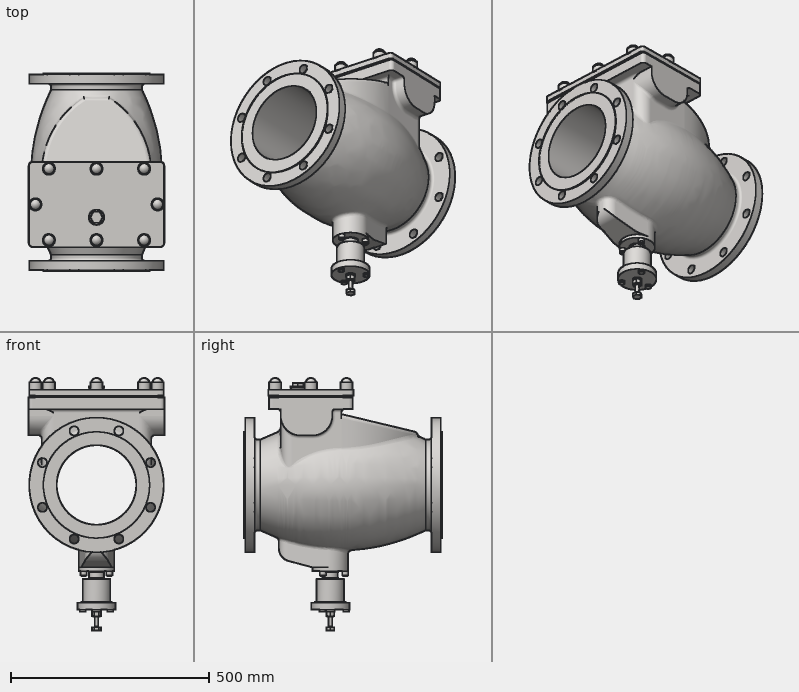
import cadquery as cq
import math

BODY_LENGTH = 500.0
BORE_DIA = 200.0
FLANGE_DIA = 340.0
FLANGE_THICK = 24.0
RAISED_FACE_DIA = 268.0
RAISED_FACE_HEIGHT = 3.0
FLANGE_HOLE_DIA = 23.0
FLANGE_HOLE_CIRCLE_DIA = 295.0
FLANGE_HOLE_COUNT = 8
NECK_DIA = 230.0
NECK_END_Y = 208.0
NECK_FILLET = 7.0
BARREL_RADIUS = 165.0
BARREL_PEAK_Y = -15.0

ON_SURFACE_TOLERANCE = 0.05
EDGE_MARGIN = 1.0

HOUSING_HALF_WIDTH = 138.5
HOUSING_FRONT_Y = -157.0
HOUSING_BACK_Y = -4.0
HOUSING_CORNER_RADIUS = 30.0
HOUSING_FOOT_FILLET = 13.0
ROOF_HIGH_Z = 179.0
ROOF_ANGLE = 13.5
ROOF_EDGE_FILLET = 10.0
TAIL_END_Y = 188.0
TAIL_HALF_WIDTH = 32.0

COVER_CENTER_Y = -81.0
TOP_FLANGE_SIZE = (343.0, 212.0)
TOP_FLANGE_CORNER = 10.0
TOP_FLANGE_BOTTOM_Z = 191.5
TOP_FLANGE_TOP_Z = 221.0
UNDER_FLANGE_FILLET = 9.0
GASKET_SIZE = (310.0, 162.0)
GASKET_CORNER = 10.0
COVER_SIZE = (340.0, 215.0)
COVER_CORNER = 8.0
COVER_BOTTOM_Z = 225.0
COVER_TOP_Z = 240.5
COVER_BOLT_DIA = 31.18
COVER_BOLT_STRAIGHT = 18.5
COVER_BOLT_TOP_Z = 270.0
DOME_BASE_DIA = 27.0
BOLT_SPACING_X = 120.0
BOLT_SPACING_Y = 90.0
SIDE_BOLT_X = 154.0

PLUG_Y = -113.5
PLUG_SEAL_DIA = 36.0
PLUG_SEAL_HEIGHT = 4.5
PLUG_COLLAR_DIA = 39.0
PLUG_COLLAR_HEIGHT = 3.5
PLUG_HEX_ACROSS_FLATS = 27.0
PLUG_HEX_HEIGHT = 9.0

PAD_BACK_Y = -27.0
PAD_BOTTOM_Z = 125.0
PAD_CORNER_RADIUS = 49.0
PAD_FOOT_FILLET = 8.0

SPINDLE_Y = -32.0
BOSS_RADIUS = 45.0
BOSS_TAPER = 8.6
BOSS_FRONT_CORNER = 26.0
BOSS_BOTTOM_Z = -208.0
BOSS_FRONT_Y = -162.0
BOSS_SLOPE_START_Y = SPINDLE_Y - BOSS_RADIUS
BOSS_SLOPE_END = (-137.0, -192.0)
BOSS_NOSE_Z = -157.0
BOSS_FOOT_FILLET = 9.0

PLATE_DIA = 90.0
PLATE_BOTTOM_Z = -217.5
SPINDLE_NECK_DIA = 38.0
SPINDLE_NECK_BOTTOM_Z = -236.0
NECK_RING_DIA = 40.0
NECK_RING_HEIGHT = 2.0
CAN_DIA = 70.0
CAN_BOTTOM_Z = -296.5
CAN_CHAMFER = 1.5
CAN_FOOT_DIA = 78.0
CAN_FOOT_TOP_Z = -294.0
RIM_DIA = 97.0
RIM_BOTTOM_Z = -314.5
GLAND_DIA = 23.0
GLAND_BOTTOM_Z = -319.0
NUT_ACROSS_FLATS = 20.0
NUT_BOTTOM_Z = -330.5
NUT_WASHER_DIA = 15.4
NUT_WASHER_BOTTOM_Z = -332.5
ROD_DIA = 10.0
ROD_BOTTOM_Z = -356.5
ROD_NECK_DIA = 9.19
END_NUT_TOP_Z = -358.5
END_NUT_BOTTOM_Z = -367.31
PLATE_BOLT_DIA = 16.0
PLATE_BOLT_LENGTH = 12.5
PLATE_BOLT_CHAMFER = 3.0
PLATE_BOLT_CIRCLE_RADIUS = 37.5
RIM_BOLT_DIA = 15.4
RIM_BOLT_LENGTH = 5.5
RIM_BOLT_CHAMFER = 1.0
RIM_BOLT_CIRCLE_RADIUS = 40.0
SPINDLE_BOLT_COUNT = 3


def cylinder(dia, x, y, z_bottom, z_top):
    return cq.Workplane("XY", origin=(x, y, z_bottom)).circle(dia / 2).extrude(z_top - z_bottom)


def hexagon(across_flats, y, z_bottom, z_top):
    """Hexagonal prism with two corners on the X direction."""
    corner_dia = across_flats / math.cos(math.pi / 6)
    return cq.Workplane("XY", origin=(0, y, z_bottom)).polygon(6, corner_dia).extrude(z_top - z_bottom)


def rounded_plate(size, corner, z_bottom, z_top):
    plate = cq.Workplane("XY", origin=(0, COVER_CENTER_Y, z_bottom)).rect(*size).extrude(z_top - z_bottom)
    return plate.edges("|Z").fillet(corner)


def lies_on(edge, solid):
    """True for an edge whose inner points all lie on the surface of the solid."""
    skin = solid.val().Shells()[0]
    points = [edge.positionAt(fraction).toTuple() for fraction in (0.25, 0.5, 0.75)]
    return all(skin.distance(cq.Vertex.makeVertex(*point)) < ON_SURFACE_TOLERANCE for point in points)


def make_barrel():
    """Revolve the bulged barrel about the Y axis."""
    neck_radius = NECK_DIA / 2
    return (
        cq.Workplane("XY")
        .moveTo(0, -NECK_END_Y)
        .lineTo(neck_radius, -NECK_END_Y)
        .spline([(BARREL_RADIUS, BARREL_PEAK_Y), (neck_radius, NECK_END_Y)], includeCurrent=True)
        .lineTo(0, NECK_END_Y)
        .close()
        .revolve(360, (0, 0, 0), (0, 1, 0))
    )


def make_end_flange():
    """Revolve the +Y flange with its neck, neck fillet and raised face."""
    neck_radius = NECK_DIA / 2
    face_y = BODY_LENGTH / 2
    front_y = face_y - RAISED_FACE_HEIGHT
    back_y = front_y - FLANGE_THICK
    arc_shift = NECK_FILLET * (1 - math.sqrt(0.5))
    return (
        cq.Workplane("XY")
        .moveTo(0, NECK_END_Y)
        .lineTo(neck_radius, NECK_END_Y)
        .lineTo(neck_radius, back_y - NECK_FILLET)
        .threePointArc((neck_radius + arc_shift, back_y - arc_shift), (neck_radius + NECK_FILLET, back_y))
        .lineTo(FLANGE_DIA / 2, back_y)
        .lineTo(FLANGE_DIA / 2, front_y)
        .lineTo(RAISED_FACE_DIA / 2, front_y)
        .lineTo(RAISED_FACE_DIA / 2, face_y)
        .lineTo(0, face_y)
        .close()
        .revolve(360, (0, 0, 0), (0, 1, 0))
    )


def make_cover_seat():
    """Straight box of the housing blended into the top flange above it."""
    depth = HOUSING_BACK_Y - HOUSING_FRONT_Y
    box = (
        cq.Workplane("XY", origin=(0, HOUSING_FRONT_Y + depth / 2, 0))
        .rect(2 * HOUSING_HALF_WIDTH, depth)
        .extrude(TOP_FLANGE_BOTTOM_Z)
    )
    box = box.edges("|Z and <Y").fillet(HOUSING_CORNER_RADIUS)
    top_flange = rounded_plate(TOP_FLANGE_SIZE, TOP_FLANGE_CORNER, TOP_FLANGE_BOTTOM_Z, TOP_FLANGE_TOP_Z)
    seat = box.union(top_flange)
    return seat.edges().filter(lambda edge: lies_on(edge, box)).edges(">Z").fillet(UNDER_FLANGE_FILLET)


def make_tail():
    """Curved tail of the housing under a sloping roof with a rounded rim."""
    side_run = HOUSING_HALF_WIDTH - TAIL_HALF_WIDTH
    tail_run = TAIL_END_Y - HOUSING_BACK_Y
    tail_radius = (side_run**2 + tail_run**2) / (2 * side_run)
    half_sweep = math.asin(tail_run / tail_radius) / 2
    mid_x = HOUSING_HALF_WIDTH - tail_radius * (1 - math.cos(half_sweep))
    mid_y = HOUSING_BACK_Y + tail_radius * math.sin(half_sweep)
    walls = (
        cq.Workplane("XY")
        .moveTo(HOUSING_HALF_WIDTH, HOUSING_BACK_Y)
        .threePointArc((mid_x, mid_y), (TAIL_HALF_WIDTH, TAIL_END_Y))
        .lineTo(-TAIL_HALF_WIDTH, TAIL_END_Y)
        .threePointArc((-mid_x, mid_y), (-HOUSING_HALF_WIDTH, HOUSING_BACK_Y))
        .close()
        .extrude(TOP_FLANGE_BOTTOM_Z)
    )
    roof_low_z = ROOF_HIGH_Z - tail_run * math.tan(math.radians(ROOF_ANGLE))
    under_roof = (
        cq.Workplane("YZ", origin=(-HOUSING_HALF_WIDTH, 0, 0))
        .moveTo(HOUSING_BACK_Y, 0)
        .lineTo(HOUSING_BACK_Y, ROOF_HIGH_Z)
        .lineTo(TAIL_END_Y, roof_low_z)
        .lineTo(TAIL_END_Y, 0)
        .close()
        .extrude(2 * HOUSING_HALF_WIDTH)
    )
    tail = walls.intersect(under_roof)
    return tail.faces(">Z").edges("not <Y").fillet(ROOF_EDGE_FILLET)


def make_pad(side):
    """U-shaped pad on one housing side, flush with the top flange end."""
    pad = (
        cq.Workplane("YZ")
        .moveTo(HOUSING_FRONT_Y, TOP_FLANGE_BOTTOM_Z)
        .lineTo(HOUSING_FRONT_Y, PAD_BOTTOM_Z)
        .lineTo(PAD_BACK_Y, PAD_BOTTOM_Z)
        .lineTo(PAD_BACK_Y, TOP_FLANGE_BOTTOM_Z)
        .close()
        .extrude(side * TOP_FLANGE_SIZE[0] / 2)
    )
    return pad.edges("|X and <Z").fillet(PAD_CORNER_RADIUS)


def make_boss():
    """Tapered boss below the barrel with a sloping, rounded front."""
    taper = math.radians(BOSS_TAPER)
    tangent_x = BOSS_RADIUS * math.cos(taper)
    tangent_y = SPINDLE_Y - BOSS_RADIUS * math.sin(taper)
    front_x = tangent_x - (tangent_y - BOSS_FRONT_Y) * math.tan(taper)
    plan = (
        cq.Workplane("XY", origin=(0, 0, BOSS_BOTTOM_Z))
        .moveTo(-front_x, BOSS_FRONT_Y)
        .lineTo(front_x, BOSS_FRONT_Y)
        .lineTo(tangent_x, tangent_y)
        .threePointArc((0, SPINDLE_Y + BOSS_RADIUS), (-tangent_x, tangent_y))
        .close()
        .extrude(-BOSS_BOTTOM_Z - BORE_DIA / 2)
    )
    plan = plan.edges("|Z and <Y").fillet(BOSS_FRONT_CORNER)
    slope_end_y, slope_end_z = BOSS_SLOPE_END
    side = (
        cq.Workplane("YZ", origin=(-BOSS_RADIUS, 0, 0))
        .moveTo(SPINDLE_Y + BOSS_RADIUS, 0)
        .lineTo(SPINDLE_Y + BOSS_RADIUS, BOSS_BOTTOM_Z)
        .lineTo(BOSS_SLOPE_START_Y, BOSS_BOTTOM_Z)
        .lineTo(slope_end_y, slope_end_z)
        .tangentArcPoint((BOSS_FRONT_Y, BOSS_NOSE_Z), relative=False)
        .lineTo(BOSS_FRONT_Y, 0)
        .close()
        .extrude(2 * BOSS_RADIUS)
    )
    return plan.intersect(side)


def make_cover_bolt(x, y):
    """Straight cap with a spherical dome."""
    straight_top = COVER_TOP_Z + COVER_BOLT_STRAIGHT
    dome_height = COVER_BOLT_TOP_Z - straight_top
    base_radius = DOME_BASE_DIA / 2
    sphere_radius = (base_radius**2 + dome_height**2) / (2 * dome_height)
    sphere = cq.Workplane("XY", origin=(x, y, COVER_BOLT_TOP_Z - sphere_radius)).sphere(sphere_radius)
    dome = sphere.intersect(cylinder(2 * sphere_radius, x, y, straight_top, COVER_BOLT_TOP_Z))
    return cylinder(COVER_BOLT_DIA, x, y, COVER_TOP_Z, straight_top).union(dome)


def make_cover():
    cover = rounded_plate(GASKET_SIZE, GASKET_CORNER, TOP_FLANGE_TOP_Z, COVER_BOTTOM_Z)
    cover = cover.union(rounded_plate(COVER_SIZE, COVER_CORNER, COVER_BOTTOM_Z, COVER_TOP_Z))
    for side in (-1, 1):
        cover = cover.union(make_cover_bolt(side * SIDE_BOLT_X, COVER_CENTER_Y))
        for column in (-1, 0, 1):
            bolt_y = COVER_CENTER_Y + side * BOLT_SPACING_Y
            cover = cover.union(make_cover_bolt(column * BOLT_SPACING_X, bolt_y))
    return cover.union(make_plug())


def make_plug():
    """Hexagon plug on a collar and a slightly smaller sealing ring."""
    seal_top = COVER_TOP_Z + PLUG_SEAL_HEIGHT
    collar_top = seal_top + PLUG_COLLAR_HEIGHT
    plug = cylinder(PLUG_SEAL_DIA, 0, PLUG_Y, COVER_TOP_Z, seal_top)
    plug = plug.union(cylinder(PLUG_COLLAR_DIA, 0, PLUG_Y, seal_top, collar_top))
    return plug.union(hexagon(PLUG_HEX_ACROSS_FLATS, PLUG_Y, collar_top, collar_top + PLUG_HEX_HEIGHT))


def make_spindle_bolts(dia, length, chamfer, circle_radius, z_top):
    """Three bolt heads hanging below z_top, the first on the +Y side."""
    return (
        cq.Workplane("XY", origin=(0, SPINDLE_Y, z_top))
        .polarArray(circle_radius, 90, 360, SPINDLE_BOLT_COUNT)
        .circle(dia / 2)
        .extrude(-length)
        .faces("<Z")
        .edges()
        .chamfer(chamfer)
    )


def make_spindle():
    can = cylinder(CAN_DIA, 0, SPINDLE_Y, CAN_BOTTOM_Z, SPINDLE_NECK_BOTTOM_Z)
    spindle = can.faces(">Z").edges().chamfer(CAN_CHAMFER)
    stack = (
        (PLATE_DIA, BOSS_BOTTOM_Z, PLATE_BOTTOM_Z),
        (SPINDLE_NECK_DIA, PLATE_BOTTOM_Z, SPINDLE_NECK_BOTTOM_Z),
        (NECK_RING_DIA, PLATE_BOTTOM_Z, PLATE_BOTTOM_Z - NECK_RING_HEIGHT),
        (NECK_RING_DIA, SPINDLE_NECK_BOTTOM_Z + NECK_RING_HEIGHT, SPINDLE_NECK_BOTTOM_Z),
        (CAN_FOOT_DIA, CAN_FOOT_TOP_Z, CAN_BOTTOM_Z),
        (RIM_DIA, CAN_BOTTOM_Z, RIM_BOTTOM_Z),
        (GLAND_DIA, RIM_BOTTOM_Z, GLAND_BOTTOM_Z),
        (NUT_WASHER_DIA, NUT_BOTTOM_Z, NUT_WASHER_BOTTOM_Z),
        (ROD_DIA, NUT_WASHER_BOTTOM_Z, ROD_BOTTOM_Z),
        (ROD_NECK_DIA, ROD_BOTTOM_Z, END_NUT_TOP_Z),
    )
    for dia, z_top, z_bottom in stack:
        spindle = spindle.union(cylinder(dia, 0, SPINDLE_Y, z_bottom, z_top))
    spindle = spindle.union(hexagon(NUT_ACROSS_FLATS, SPINDLE_Y, NUT_BOTTOM_Z, GLAND_BOTTOM_Z))
    spindle = spindle.union(hexagon(NUT_ACROSS_FLATS, SPINDLE_Y, END_NUT_BOTTOM_Z, END_NUT_TOP_Z))
    plate_bolts = make_spindle_bolts(
        PLATE_BOLT_DIA, PLATE_BOLT_LENGTH, PLATE_BOLT_CHAMFER, PLATE_BOLT_CIRCLE_RADIUS, PLATE_BOTTOM_Z
    )
    rim_bolts = make_spindle_bolts(
        RIM_BOLT_DIA, RIM_BOLT_LENGTH, RIM_BOLT_CHAMFER, RIM_BOLT_CIRCLE_RADIUS, RIM_BOTTOM_Z
    )
    return spindle.union(plate_bolts).union(rim_bolts)


def cut_bore_and_flange_holes(part):
    start = (0, -BODY_LENGTH / 2, 0)
    bore = cq.Workplane("XZ", origin=start).circle(BORE_DIA / 2).extrude(-BODY_LENGTH)
    part = part.cut(bore)
    half_pitch = 180 / FLANGE_HOLE_COUNT
    depth = FLANGE_THICK + RAISED_FACE_HEIGHT
    for start_y in (-BODY_LENGTH / 2, BODY_LENGTH / 2 - depth):
        holes = (
            cq.Workplane("XZ", origin=(0, start_y, 0))
            .polarArray(FLANGE_HOLE_CIRCLE_DIA / 2, half_pitch, 360, FLANGE_HOLE_COUNT)
            .circle(FLANGE_HOLE_DIA / 2)
            .extrude(-depth)
        )
        part = part.cut(holes)
    return part


def barrel_seams(body, barrel, z_low, z_high):
    """Edges between two heights where another feature meets the barrel, clear of the necks."""
    y_limit = NECK_END_Y - EDGE_MARGIN
    band = cq.selectors.BoxSelector((-BARREL_RADIUS, -y_limit, z_low), (BARREL_RADIUS, y_limit, z_high))
    return body.edges(band).filter(lambda edge: lies_on(edge, barrel))


def is_pad_foot(edge):
    """True for the edges where a pad's curved rim meets the housing wall."""
    middle = edge.positionAt(0.5)
    return (
        HOUSING_HALF_WIDTH - HOUSING_CORNER_RADIUS < abs(middle.x) < HOUSING_HALF_WIDTH + EDGE_MARGIN
        and HOUSING_FRONT_Y + EDGE_MARGIN < middle.y < PAD_BACK_Y + EDGE_MARGIN
        and PAD_BOTTOM_Z - EDGE_MARGIN < middle.z < TOP_FLANGE_BOTTOM_Z - EDGE_MARGIN
    )


def make_body():
    """Barrel, housing, boss, pads and end flanges, with their blends, still without the bore."""
    barrel = make_barrel()
    body = barrel.union(make_cover_seat()).union(make_tail())
    housing_foot = barrel_seams(body, barrel, BORE_DIA / 4, TOP_FLANGE_BOTTOM_Z)
    body = housing_foot.fillet(HOUSING_FOOT_FILLET)
    body = body.union(make_boss())
    boss_foot = barrel_seams(body, barrel, BOSS_BOTTOM_Z, -BORE_DIA / 2)
    body = boss_foot.fillet(BOSS_FOOT_FILLET)
    for side in (-1, 1):
        body = body.union(make_pad(side))
    body = body.edges().filter(is_pad_foot).fillet(PAD_FOOT_FILLET)
    end_flange = make_end_flange()
    return body.union(end_flange).union(end_flange.mirror("XZ"))


body = make_body()
result = cut_bore_and_flange_holes(body.union(make_cover()).union(make_spindle()))